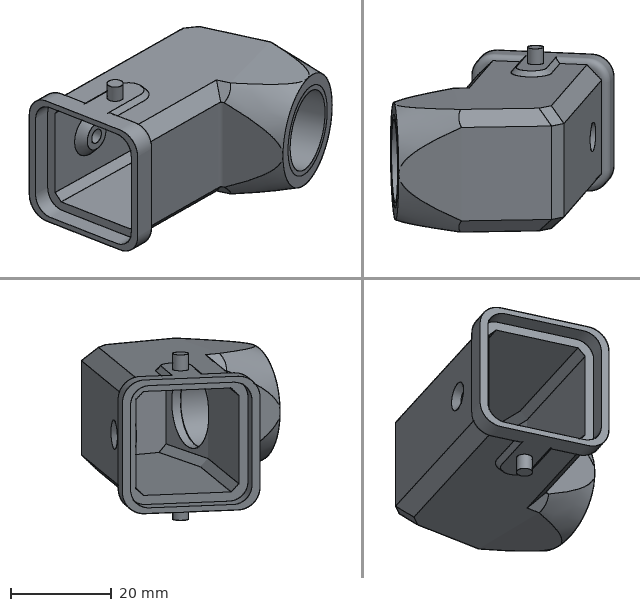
import cadquery as cq
import math


overall_x = 39.05
overall_y = 54.3

body_half = 12.5
edge_chamfer = 3.0
corner_chamfer = 2.05
bend_fillet = 1.0
wall = 2.0

nozzle_tilt = 15.0
exit_radius = 11.7
nozzle_length = 12.45

flange_x = 27.95
flange_z = 27.0
flange_height = 5.25
flange_corner = 4.5
flange_rounding = 1.45
recess_size = 24.65
recess_depth = 3.75
recess_corner = 3.8

cavity_half = body_half - wall
cavity_chamfer = 1.6
wall_draft = 0.55
end_wall_depth = 14.0

entry_diameter = 16.0
sleeve_inner = 16.5
sleeve_outer = 18.6
sleeve_length = end_wall_depth - wall

pin_diameter = 3.2
pin_span = 33.4
pin_y = 9.85
pad_top_radius = 3.05
pad_arc_y = 14.0
pad_rise = flange_z / 2 - body_half

screw_y = 14.4
screw_hole = 3.0
countersink = 5.8
boss_end = 5.75
boss_height = 1.9
boss_base = boss_end + 2 * boss_height

tilt = math.radians(nozzle_tilt)

exit_x = overall_x - flange_x / 2 - exit_radius * math.sin(tilt)
exit_y = overall_y - exit_radius * math.cos(tilt)


def along_nozzle(setback, sideways):
    """XY point at a setback behind the end face and a sideways distance from the nozzle's axis."""
    x = exit_x - setback * math.cos(tilt) - sideways * math.sin(tilt)
    y = exit_y - setback * math.sin(tilt) + sideways * math.cos(tilt)
    return x, y


def nozzle_side_y(x, sideways):
    """Y at which a line parallel to the nozzle's axis passes the given X."""
    return exit_y + (x - exit_x) * math.tan(tilt) + sideways / math.cos(tilt)


def bevelled_block(wide_outline, narrow_outline, straight_half, full_half):
    """Prism along Z that tapers from the wide to the narrow outline near both of its ends."""
    block = cq.Workplane("XY").workplane(offset=-straight_half).polyline(wide_outline).close()
    block = block.extrude(2 * straight_half)
    for side in (1, -1):
        bevel = (
            cq.Workplane("XY").workplane(offset=side * straight_half).polyline(wide_outline).close()
            .workplane(offset=side * (full_half - straight_half)).polyline(narrow_outline).close()
            .loft(ruled=True)
        )
        block = block.union(bevel)
    return block


def nozzle_plane(setback):
    """Plane across the nozzle, facing outwards: local X is sideways and local Y is -Z."""
    x, y = along_nozzle(setback, 0)
    return cq.Plane(
        origin=(x, y, 0),
        xDir=(-math.sin(tilt), math.cos(tilt), 0),
        normal=(math.cos(tilt), math.sin(tilt), 0),
    )


def tube_outline(half):
    corner_y = nozzle_side_y(-half, half)
    return [
        (-half, 0),
        (half, 0),
        (half, nozzle_side_y(half, -half)),
        along_nozzle(nozzle_length, -half),
        along_nozzle(nozzle_length, half),
        (-half + corner_chamfer * math.cos(tilt), corner_y + corner_chamfer * math.sin(tilt)),
        (-half, corner_y - corner_chamfer),
    ]


def make_tube():
    straight_half = body_half - edge_chamfer
    tube = bevelled_block(tube_outline(body_half), tube_outline(straight_half), straight_half, body_half)

    corner_y = nozzle_side_y(body_half, -body_half)
    tangent = bend_fillet * math.tan((math.pi / 2 - tilt) / 2)
    centre = (body_half + bend_fillet, corner_y - tangent)
    arc_angle = math.pi / 2 + (math.pi / 2 - tilt) / 2
    middle = (
        centre[0] + bend_fillet * math.cos(arc_angle),
        centre[1] + bend_fillet * math.sin(arc_angle),
    )
    upper = (body_half + tangent * math.cos(tilt), corner_y + tangent * math.sin(tilt))
    filler = (
        cq.Workplane("XY").workplane(offset=-straight_half)
        .moveTo(body_half, corner_y).lineTo(body_half, corner_y - tangent)
        .threePointArc(middle, upper).close().extrude(2 * straight_half)
    )
    return tube.union(filler)


def make_nozzle():
    """Cone trimmed by four flats that touch its end circle, and by the tube's bevels."""
    base = nozzle_plane(nozzle_length)
    base_radius = math.hypot(body_half, body_half - edge_chamfer)
    cone = (
        cq.Workplane(base).circle(base_radius)
        .workplane(offset=nozzle_length).circle(exit_radius).loft(ruled=True)
    )
    flats = (
        cq.Workplane(base).rect(2 * body_half, 2 * body_half)
        .workplane(offset=nozzle_length).rect(2 * exit_radius, 2 * exit_radius).loft(ruled=True)
    )
    bevels = (
        cq.Workplane(base).rect(2 * body_half, 2 * body_half).extrude(nozzle_length)
        .edges(cq.selectors.ParallelDirSelector(base.zDir)).chamfer(edge_chamfer)
    )
    return cone.intersect(flats).intersect(bevels)


def make_flange():
    flange = cq.Workplane("XZ").rect(flange_x, flange_z).extrude(-flange_height)
    flange = flange.edges("|Y").fillet(flange_corner)
    return flange.faces(">Y").edges().fillet(flange_rounding)


def make_pad(side):
    """Raised pad around a pin, with 45 degree flanks and a round end."""
    base_radius = pad_top_radius + pad_rise

    def outline(workplane, radius):
        return (
            workplane.moveTo(-radius, 0).lineTo(radius, 0).lineTo(radius, pad_arc_y)
            .threePointArc((0, pad_arc_y + radius), (-radius, pad_arc_y)).close()
        )

    base = outline(cq.Workplane("XY").workplane(offset=side * body_half), base_radius)
    return outline(base.workplane(offset=side * pad_rise), pad_top_radius).loft(ruled=True)


def make_pin(side):
    pin = cq.Workplane("XY").workplane(offset=side * body_half).center(0, pin_y)
    return pin.circle(pin_diameter / 2).extrude(side * (pin_span / 2 - body_half))


def cavity_outline(inset):
    """Cavity outline; the inset moves its sides and slanted wall, but not the far wall."""
    half = cavity_half - inset
    setback = end_wall_depth + inset
    far_left = -half + wall_draft
    slant_bottom_y = exit_y - (setback + (half - exit_x) * math.cos(tilt)) / math.sin(tilt)
    return [
        (-half, 0),
        (half, 0),
        (half, slant_bottom_y),
        along_nozzle(setback, cavity_half),
        (far_left, nozzle_side_y(far_left, cavity_half)),
    ]


def make_cavity():
    straight_half = cavity_half - cavity_chamfer
    cavity = bevelled_block(cavity_outline(0), cavity_outline(cavity_chamfer), straight_half, cavity_half)
    recess = cq.Workplane("XZ").rect(recess_size, recess_size).extrude(-recess_depth)
    return cavity.union(recess.edges("|Y").fillet(recess_corner))


def make_cable_entry():
    hole = cq.Workplane(nozzle_plane(end_wall_depth + wall)).circle(entry_diameter / 2)
    hole = hole.extrude(end_wall_depth + wall)
    seat = cq.Workplane(nozzle_plane(sleeve_length)).circle(sleeve_outer / 2).extrude(sleeve_length)
    return hole.union(seat)


def screw_cone(start_x, start_diameter, length, end_diameter):
    """Cone along +X on the axis of the screw hole."""
    start = cq.Workplane("YZ").workplane(offset=start_x).center(screw_y, 0).circle(start_diameter / 2)
    return start.workplane(offset=length).circle(end_diameter / 2).loft(ruled=True)


def make_screw_hole():
    sink_depth = (countersink - screw_hole) / 2
    hole = cq.Workplane("YZ").workplane(offset=-body_half).center(screw_y, 0)
    hole = hole.circle(screw_hole / 2).extrude(wall + boss_height)
    return hole.union(screw_cone(-body_half, countersink, sink_depth, screw_hole))


def make_housing():
    housing = make_tube().union(make_nozzle()).union(make_flange())
    for side in (1, -1):
        housing = housing.union(make_pad(side)).union(make_pin(side))
    housing = housing.cut(make_cavity()).cut(make_cable_entry())
    housing = housing.union(screw_cone(-cavity_half, boss_base, boss_height, boss_end))
    return housing.cut(make_screw_hole())


def make_sleeve():
    sleeve = cq.Workplane(nozzle_plane(sleeve_length))
    return sleeve.circle(sleeve_outer / 2).circle(sleeve_inner / 2).extrude(sleeve_length)


housing = make_housing()
sleeve = make_sleeve()

result = cq.Compound.makeCompound([housing.solids().val(), sleeve.val()])